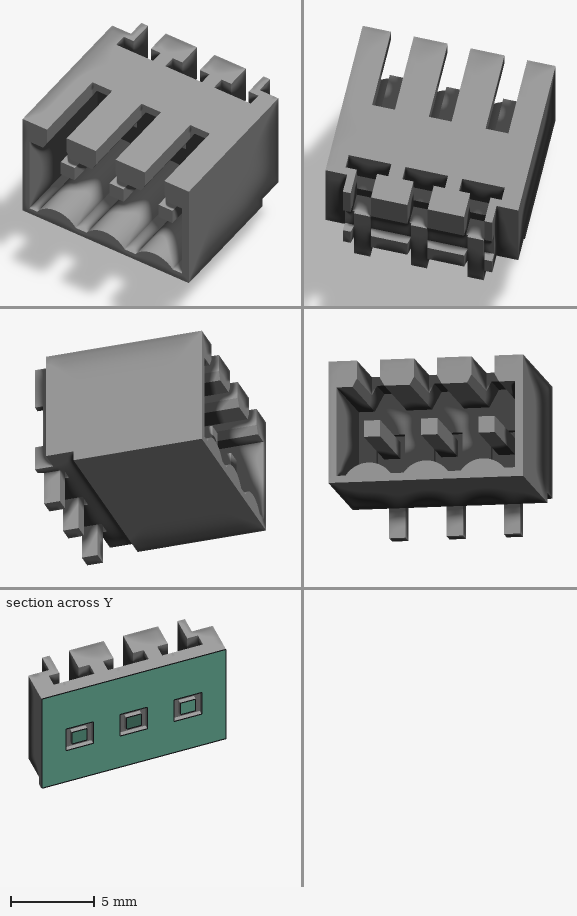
import cadquery as cq
import math


WIDTH = 11.9
BODY_DEPTH = 9.9
TOTAL_DEPTH = 11.05
HEIGHT = 7.45
REAR_BLOCK_WIDTH = 9.21

PITCH = 3.5
PIN_CENTERS = [-PITCH, 0.0, PITCH]

PIN_SIZE = 1.0
PIN_AXIS_Z = 3.5
PIN_TOP_Z = PIN_AXIS_Z + PIN_SIZE / 2
PIN_BOTTOM_Z = PIN_AXIS_Z - PIN_SIZE / 2
PIN_TIP_Y = 1.2
PIN_BACK_Y = 10.69
PIN_DROP = 1.5

CAVITY_DEPTH = 7.5
SIDE_WALL = 0.5
CEILING_Z = 5.84
FLOOR_LEVELS = [0.42, 0.46, 0.46, 0.55]
RIDGE_TOP_Z = 1.17
RIDGE_RADIUS = 1.67
GROOVE_TOP_Z = 6.9
GROOVE_TOP_WIDTH = 0.79
GROOVE_BOTTOM_WIDTH = 1.95

RECESS_SIZE = 1.75
RECESS_DEPTH = 0.5

ROOF_SLOT_WIDTH = 1.4
ROOF_SLOT_LENGTH = 5.02

REAR_SLOT_WIDTH = 1.25
T_WIDTH = 2.63
T_FRONT_Y = 8.6
T_BACK_Y = 9.44

NOTCH_FLOOR_Y = 10.54
NOTCH_BOTTOM_Z = 2.13
NOTCH_TOP_Z = 4.87
STEP_FRONT_Y = 8.15
STEP_HEIGHT = 0.61


def block(x_center, width, y_range, z_range):
    """Box centred on x_center that spans the given Y and Z ranges."""
    y_low, y_high = y_range
    z_low, z_high = z_range
    corner = (x_center - width / 2, y_low, z_low)
    return cq.Workplane("XY").box(width, y_high - y_low, z_high - z_low, centered=False).translate(corner)


def make_shell():
    """Outer block with a narrower rear block, a rear notch and a step underneath."""
    body = block(0, WIDTH, (0, BODY_DEPTH), (0, HEIGHT))
    rear_block = block(0, REAR_BLOCK_WIDTH, (BODY_DEPTH, TOTAL_DEPTH), (0, HEIGHT))
    notch = block(0, WIDTH, (NOTCH_FLOOR_Y, TOTAL_DEPTH), (NOTCH_BOTTOM_Z, NOTCH_TOP_Z))
    step = block(0, WIDTH, (STEP_FRONT_Y, TOTAL_DEPTH), (0, STEP_HEIGHT))
    return body.union(rear_block).cut(notch).cut(step)


def ridge_half_width(floor_z):
    """Half the width of a round floor ridge at the height of the floor beside it."""
    height_above_axis = floor_z - (RIDGE_TOP_Z - RIDGE_RADIUS)
    return math.sqrt(RIDGE_RADIUS**2 - height_above_axis**2)


def make_cavity():
    """Space with round ridges along its floor and tapered grooves along its ceiling."""
    half_width = WIDTH / 2 - SIDE_WALL
    outline = cq.Workplane("XZ").moveTo(-half_width, FLOOR_LEVELS[0])
    for x, left_z, right_z in zip(PIN_CENTERS, FLOOR_LEVELS[:-1], FLOOR_LEVELS[1:]):
        outline = outline.lineTo(x - ridge_half_width(left_z), left_z)
        outline = outline.threePointArc((x, RIDGE_TOP_Z), (x + ridge_half_width(right_z), right_z))
    outline = outline.lineTo(half_width, FLOOR_LEVELS[-1]).lineTo(half_width, CEILING_Z)
    for x in reversed(PIN_CENTERS):
        outline = outline.lineTo(x + GROOVE_BOTTOM_WIDTH / 2, CEILING_Z)
        outline = outline.lineTo(x + GROOVE_TOP_WIDTH / 2, GROOVE_TOP_Z)
        outline = outline.lineTo(x - GROOVE_TOP_WIDTH / 2, GROOVE_TOP_Z)
        outline = outline.lineTo(x - GROOVE_BOTTOM_WIDTH / 2, CEILING_Z)
    return outline.lineTo(-half_width, CEILING_Z).close().extrude(-CAVITY_DEPTH)


def make_roof_slot(x):
    """Slot through the roof from the front edge."""
    return block(x, ROOF_SLOT_WIDTH, (0, ROOF_SLOT_LENGTH), (CEILING_Z, HEIGHT))


def make_rear_slot(x):
    """T-shaped slot from the roof, with a flared channel below it for the bent pin."""
    stem = block(x, REAR_SLOT_WIDTH, (T_BACK_Y, TOTAL_DEPTH), (PIN_TOP_Z, HEIGHT))
    crossbar = block(x, T_WIDTH, (T_FRONT_Y, T_BACK_Y), (NOTCH_TOP_Z, HEIGHT))
    channel_points = [
        (x - PIN_SIZE / 2, T_BACK_Y),
        (x + PIN_SIZE / 2, T_BACK_Y),
        (x + PIN_SIZE / 2, NOTCH_FLOOR_Y),
        (x + REAR_SLOT_WIDTH / 2, TOTAL_DEPTH),
        (x - REAR_SLOT_WIDTH / 2, TOTAL_DEPTH),
        (x - PIN_SIZE / 2, NOTCH_FLOOR_Y),
    ]
    channel = cq.Workplane("XY").polyline(channel_points).close().extrude(PIN_TOP_Z)
    return stem.union(crossbar).union(channel)


def make_pin_passage(x):
    """Square recess in the back wall of the cavity and the pin hole behind it."""
    half_recess = RECESS_SIZE / 2
    recess_z = (PIN_AXIS_Z - half_recess, PIN_AXIS_Z + half_recess)
    recess = block(x, RECESS_SIZE, (CAVITY_DEPTH, CAVITY_DEPTH + RECESS_DEPTH), recess_z)
    hole = block(x, PIN_SIZE, (CAVITY_DEPTH, T_BACK_Y), (PIN_BOTTOM_Z, PIN_TOP_Z))
    return recess.union(hole)


def make_housing():
    housing = make_shell().cut(make_cavity())
    for x in PIN_CENTERS:
        housing = housing.cut(make_roof_slot(x)).cut(make_rear_slot(x)).cut(make_pin_passage(x))
    return housing


def make_pin(x):
    """Square pin: a contact along Y and a solder leg that turns down at the rear."""
    contact = block(x, PIN_SIZE, (PIN_TIP_Y, PIN_BACK_Y), (PIN_BOTTOM_Z, PIN_TOP_Z))
    leg = block(x, PIN_SIZE, (PIN_BACK_Y - PIN_SIZE, PIN_BACK_Y), (-PIN_DROP, PIN_TOP_Z))
    return contact.union(leg)


housing = make_housing()
pins = [make_pin(x) for x in PIN_CENTERS]

result = cq.Compound.makeCompound([housing.solids().val(), *[pin.solids().val() for pin in pins]])